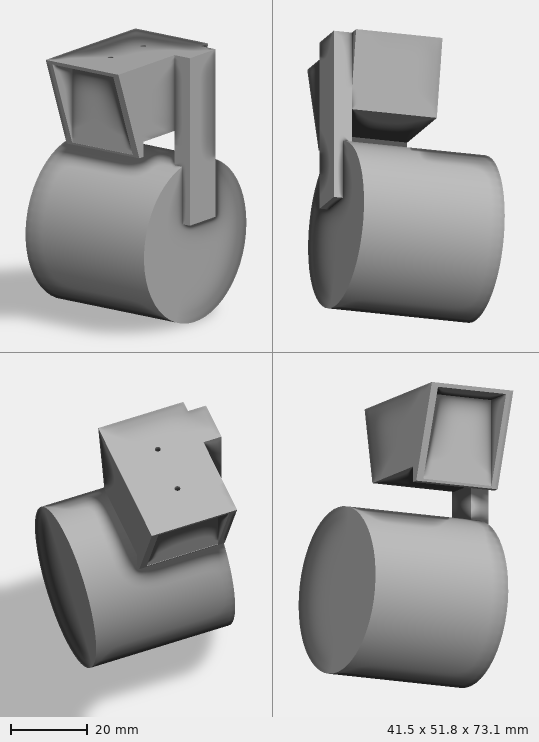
import cadquery as cq

drum_diameter = 44.0
drum_length = 38.95
drum_radius = drum_diameter / 2

arm_width = 11.1
arm_front = -5.6
arm_thickness = 5.05
arm_right = 41.5
arm_left = arm_right - arm_thickness
arm_bottom = 27.7
overall_height = 73.1

housing_width = 23.9
housing_left = arm_left - housing_width
housing_back_top = 8.8
housing_back_bottom = 4.3
housing_front_top = -29.75
housing_front_bottom = -20.75
housing_underside = 52.55
lip_bottom = 48.45
lip_back = -19.0

recess_side_wall = 2.0
recess_top_wall = 1.0
recess_bottom_wall = 0.65
recess_back = -20.9

hole_diameter = 1.5
hole_depth = 2.0
hole_positions_y = (-3.4, -17.5)


def make_arm():
    """Plain rectangular bar."""
    return cq.Workplane("XY").box(
        arm_thickness, arm_width, overall_height - arm_bottom, centered=False
    ).translate((arm_left, arm_front, arm_bottom))


def make_drum(arm):
    """Solid cylinder with a slot in its right end that matches the arm."""
    drum = cq.Workplane("YZ").center(0, drum_radius).circle(drum_radius).extrude(drum_length)
    return drum.cut(arm)


def make_housing():
    """Tapered block with a front lip, a front recess and blind holes in the top."""
    profile = [
        (housing_back_top, overall_height),
        (housing_back_bottom, housing_underside),
        (lip_back, housing_underside),
        (lip_back, lip_bottom),
        (housing_front_bottom, lip_bottom),
        (housing_front_top, overall_height),
    ]
    housing = (
        cq.Workplane("YZ", origin=(housing_left, 0, 0)).polyline(profile).close().extrude(housing_width)
    )

    recess_bottom = lip_bottom + recess_bottom_wall
    recess = cq.Workplane("XY").box(
        housing_width - 2 * recess_side_wall,
        recess_back - housing_front_top,
        overall_height - recess_top_wall - recess_bottom,
        centered=False,
    ).translate((housing_left + recess_side_wall, housing_front_top, recess_bottom))

    hole_x = housing_left + housing_width / 2
    holes = (
        cq.Workplane("XY", origin=(0, 0, overall_height))
        .pushPoints([(hole_x, hole_y) for hole_y in hole_positions_y])
        .circle(hole_diameter / 2)
        .extrude(-hole_depth)
    )
    return housing.cut(recess).cut(holes)


arm = make_arm()
drum = make_drum(arm)
housing = make_housing()

result = cq.Compound.makeCompound([drum.val(), arm.val(), housing.val()])